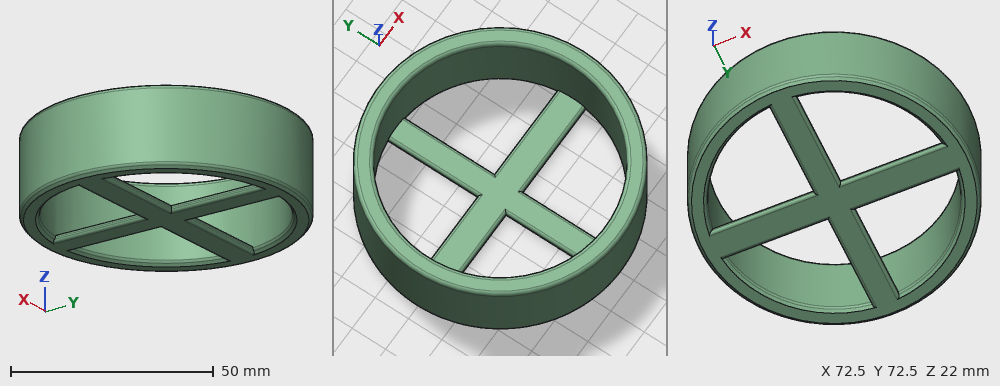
import cadquery as cq

outer_diameter = 72.5
inner_diameter = 62.5
height = 22.0
rim_round = 1.0
bottom_chamfer = 1.0
bottom_blend = 1.0

arm_thickness = 2.0
arm_along_x_width = 8.4
arm_along_y_width = 7.2
arm_edge_round = 0.8
arm_length = (outer_diameter + inner_diameter) / 2


def make_ring():
    """Tube with a rounded top rim and chamfered, blended bottom edges."""
    tube = cq.Workplane("XY").circle(outer_diameter / 2).circle(inner_diameter / 2).extrude(height)
    tube = tube.faces("<Z").edges().chamfer(bottom_chamfer)
    chamfer_tops = cq.selectors.BoxSelector(
        (-outer_diameter, -outer_diameter, bottom_chamfer / 2),
        (outer_diameter, outer_diameter, bottom_chamfer * 2),
        boundingbox=True,
    )
    tube = tube.edges(chamfer_tops).edges("%CIRCLE").fillet(bottom_blend)
    return tube.faces(">Z").edges().fillet(rim_round)


def make_arm(length_x, length_y):
    return cq.Workplane("XY").box(length_x, length_y, arm_thickness, centered=(True, True, False))


def make_cross():
    """Two crossing bars with rounded upper and lower edges."""
    cross = make_arm(arm_length, arm_along_x_width).union(make_arm(arm_along_y_width, arm_length))
    return cross.faces(">Z or <Z").edges().fillet(arm_edge_round)


result = make_ring().union(make_cross())